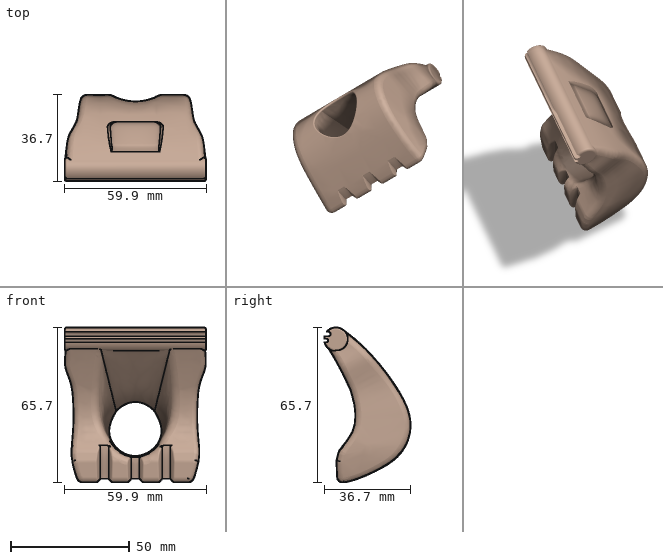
import cadquery as cq
import math

WIDTH = 59.92
HEIGHT = 65.71
BODY_BACK = 36.68

BAR_RADIUS = 5.05
BAR_Y = 5.05
BAR_Z = HEIGHT - BAR_RADIUS
BAR_END_ROUND = 1.0
BAR_GROOVES = [(1.83, BAR_Z + 2.22, 0.92), (0.98, BAR_Z - 0.51, 0.72)]

BACK_CURVE = [
    (8.4, 64.35), (17.9, 56.2), (27.0, 45.5), (33.1, 36.1), (BODY_BACK - 0.1, 26.0),
    (35.3, 17.3), (30.6, 10.5), (22.5, 5.2), (13.4, 1.25), (8.6, 0.0),
]
INNER_CURVE = [
    (6.2, 13.2), (9.4, 17.3), (11.9, 21.3), (13.2, 27.8), (12.7, 33.4),
    (11.3, 38.8), (8.2, 45.5), (4.7, 52.2), (2.2, 56.3), (0.7, 58.9),
]
TIP_BOTTOM = (5.6, 0.0)
TIP_TOP = (5.15, 9.0)
TIP_ROUND = 2.4
CREASE_ROUND = 4.0

SIDE_STATIONS = [
    (-1.0, 25.2, 18.5), (6.0, 27.5, 20.8), (12.5, 28.7, 22.3), (25.0, 28.8, 22.9),
    (36.0, 28.9, 23.0), (42.4, 30.1, 22.6), (49.0, 31.6, 23.8), (54.0, 30.3, 27.3),
    (60.0, 29.9, 28.0), (67.0, WIDTH / 2, 29.0),
]
BACK_EDGE_ROUND = 3.0
INNER_EDGE_ROUND = 2.3
SIDE_BACK_Y = BODY_BACK + 0.3
BODY_MIDDLE_Y = 20.0

HOLE_HALF_WIDTH = 10.7
HOLE_BOTTOM = 11.5
HOLE_TOP = 30.7
HOLE_Y = BODY_BACK + 1.0
HOLE_CORNER_ANGLES = (-20, 45)
MOUTH_Y = 0.5
MOUTH_BOTTOM = 10.5
MOUTH_SHOULDER = (11.8, 19.0)
MOUTH_BELLY = (18.8, 43.0)
MOUTH_CORNER = (15.0, 58.0)
MOUTH_TOP = MOUTH_CORNER[1] + 0.3
MOUTH_ROUND = 3.6
HOLE_RIM_ROUND = 0.5
MOUTH_EDGE_BACK = 13.6

TOOTH_GROOVE_PITCH = 13.1
TOOTH_GROOVE_HALF_FLOOR = 1.73
TOOTH_GROOVE_HALF_MOUTH = 4.0
TOOTH_GROOVE_FLOOR_Y = 8.2
TOOTH_GROOVE_MOUTH_Y = 4.0
TOOTH_GROOVE_BOTTOM = 1.5
TOOTH_GROOVE_TOP = 20.0
TOOTH_EDGE_ROUND = 0.7
TOOTH_FRONT_LIMIT_Y = (TIP_BOTTOM[0] + INNER_CURVE[0][0]) / 2

POCKET_START = (12.5, 61.3)
POCKET_RUNOUT = (13.6, 58.8)
POCKET_BEND = (15.5, 56.8)
POCKET_END = (25.1, 45.7)
POCKET_START_HALF_WIDTH = 9.3
POCKET_END_HALF_WIDTH = 10.3
POCKET_CORNER_ROUND = 1.5
POCKET_DRAFT = 38
POCKET_SAG = 1.0

OVERSHOOT = 5.0


def round_edges(shape, is_wanted, radius):
    return shape.newObject([e for e in shape.edges().vals() if is_wanted(e)]).fillet(radius)


def round_nearest_edge(shape, point, radius):
    return shape.edges(cq.selectors.NearestToPointSelector(point)).fillet(radius)


def reach_from_middle(box):
    return max(-box.xmin, box.xmax)


def mirrored(point):
    return (-point[0], point[1])


def side_profile():
    shape = (
        cq.Workplane("YZ").moveTo(*BACK_CURVE[0]).spline(BACK_CURVE[1:], includeCurrent=True)
        .lineTo(*TIP_BOTTOM).lineTo(*TIP_TOP).lineTo(*INNER_CURVE[0])
        .spline(INNER_CURVE[1:], includeCurrent=True).lineTo(BAR_Y, BAR_Z).close()
        .extrude(2 * WIDTH)
    )
    shape = round_nearest_edge(shape, (WIDTH, *TIP_BOTTOM), TIP_ROUND)
    for corner in (TIP_TOP, INNER_CURVE[0]):
        shape = round_nearest_edge(shape, (WIDTH, *corner), CREASE_ROUND)
    return shape.translate((-WIDTH, 0, 0))


def side_outline(plane_y, half_widths):
    right = [(half_width, station[0]) for station, half_width in zip(SIDE_STATIONS, half_widths)]
    left = [mirrored(point) for point in reversed(right)]
    return (
        cq.Workplane("XZ", origin=(0, plane_y, 0))
        .moveTo(*right[0]).spline(right[1:], includeCurrent=True)
        .lineTo(*left[0]).spline(left[1:], includeCurrent=True).close().wires().val()
    )


def side_walls():
    """Block between the two waisted sides, tapering toward the back."""
    front = side_outline(0, [station[1] for station in SIDE_STATIONS])
    back = side_outline(SIDE_BACK_Y, [station[2] for station in SIDE_STATIONS])
    return cq.Workplane(cq.Solid.makeLoft([front, back], True))


def is_side_edge(box):
    return box.xmin * box.xmax > 0


def is_back_side_edge(edge):
    box = edge.BoundingBox()
    return is_side_edge(box) and box.ymax > BODY_MIDDLE_Y


def is_inner_side_edge(edge):
    box = edge.BoundingBox()
    return is_side_edge(box) and box.ymax < BODY_MIDDLE_Y and box.zmax < BAR_Z - BAR_END_ROUND


def body():
    shape = side_profile().intersect(side_walls())
    shape = round_edges(shape, is_back_side_edge, BACK_EDGE_ROUND)
    return round_edges(shape, is_inner_side_edge, INNER_EDGE_ROUND)


def bar():
    return (
        cq.Workplane("YZ", origin=(-WIDTH / 2, 0, 0)).center(BAR_Y, BAR_Z).circle(BAR_RADIUS)
        .extrude(WIDTH).edges("%CIRCLE").fillet(BAR_END_ROUND)
    )


def hole_point(angle):
    middle_z = (HOLE_BOTTOM + HOLE_TOP) / 2
    half_height = (HOLE_TOP - HOLE_BOTTOM) / 2
    return (
        HOLE_HALF_WIDTH * math.cos(math.radians(angle)),
        middle_z + half_height * math.sin(math.radians(angle)),
    )


def funnel_outline(plane_y, bottom, shoulder, belly, corner, top):
    return (
        cq.Workplane("XZ", origin=(0, plane_y, 0)).moveTo(*shoulder)
        .threePointArc((0, bottom), mirrored(shoulder))
        .threePointArc(mirrored(belly), mirrored(corner))
        .threePointArc((0, top), corner)
        .threePointArc(belly, shoulder).close().wires().val()
    )


def funnel():
    shoulder_angle, corner_angle = HOLE_CORNER_ANGLES
    mouth = funnel_outline(
        MOUTH_Y, MOUTH_BOTTOM, MOUTH_SHOULDER, MOUTH_BELLY, MOUTH_CORNER, MOUTH_TOP
    )
    hole = funnel_outline(
        HOLE_Y, HOLE_BOTTOM, hole_point(shoulder_angle),
        hole_point((shoulder_angle + corner_angle) / 2), hole_point(corner_angle), HOLE_TOP
    )
    return cq.Workplane(cq.Solid.makeLoft([mouth, hole], True))


def bar_groove(y, z, radius):
    """Round-bottomed groove along the whole bar, open toward the front."""
    return (
        cq.Workplane("YZ", origin=(-WIDTH, 0, 0)).moveTo(-OVERSHOOT, z - radius).lineTo(y, z - radius)
        .threePointArc((y + radius, z), (y, z + radius)).lineTo(-OVERSHOOT, z + radius).close()
        .extrude(2 * WIDTH)
    )


def tooth_groove(x):
    channel = (
        cq.Workplane("XY", origin=(x, 0, -OVERSHOOT))
        .moveTo(-TOOTH_GROOVE_HALF_MOUTH, TOOTH_GROOVE_MOUTH_Y)
        .lineTo(TOOTH_GROOVE_HALF_MOUTH, TOOTH_GROOVE_MOUTH_Y)
        .lineTo(TOOTH_GROOVE_HALF_FLOOR, TOOTH_GROOVE_FLOOR_Y)
        .lineTo(-TOOTH_GROOVE_HALF_FLOOR, TOOTH_GROOVE_FLOOR_Y).close()
        .extrude(TOOTH_GROOVE_TOP + OVERSHOOT)
    )
    notch_half_foot = TOOTH_GROOVE_HALF_FLOOR + TOOTH_GROOVE_BOTTOM
    notch = (
        cq.Workplane("XZ", origin=(x, TOOTH_GROOVE_MOUTH_Y, 0))
        .moveTo(-TOOTH_GROOVE_HALF_FLOOR, TOOTH_GROOVE_BOTTOM)
        .lineTo(TOOTH_GROOVE_HALF_FLOOR, TOOTH_GROOVE_BOTTOM)
        .lineTo(notch_half_foot, 0).lineTo(notch_half_foot, -OVERSHOOT)
        .lineTo(-notch_half_foot, -OVERSHOOT).lineTo(-notch_half_foot, 0).close()
        .extrude(-BODY_BACK / 2)
    )
    return channel.union(notch)


def back_pocket():
    start_y, start_z = POCKET_START
    end_y, end_z = POCKET_END
    length = math.hypot(end_y - start_y, end_z - start_z)
    floor_prism = (
        cq.Workplane("YZ", origin=(-WIDTH / 2, 0, 0)).moveTo(*POCKET_START)
        .threePointArc(POCKET_RUNOUT, POCKET_BEND).lineTo(*POCKET_END)
        .lineTo(end_y, HEIGHT).lineTo(start_y, HEIGHT).close().extrude(WIDTH)
    )
    floor = cq.Plane(
        origin=(0, (start_y + end_y) / 2, (start_z + end_z) / 2), xDir=(1, 0, 0),
        normal=(0, start_z - end_z, end_y - start_y),
    )
    outline = (
        cq.Workplane(floor).workplane(offset=-POCKET_SAG)
        .moveTo(-POCKET_END_HALF_WIDTH, length).lineTo(POCKET_END_HALF_WIDTH, length)
        .lineTo(POCKET_START_HALF_WIDTH, -length).lineTo(-POCKET_START_HALF_WIDTH, -length).close()
        .extrude(2 * OVERSHOOT, taper=-POCKET_DRAFT)
    )
    pocket = floor_prism.intersect(outline)
    corner_x = POCKET_END_HALF_WIDTH + OVERSHOOT / 2
    for side in (-corner_x, corner_x):
        corner = (side, end_y, (end_z + HEIGHT) / 2)
        pocket = round_nearest_edge(pocket, corner, POCKET_CORNER_ROUND)
    return pocket


def is_mouth_edge(edge):
    box = edge.BoundingBox()
    return (
        reach_from_middle(box) < MOUTH_BELLY[0]
        and box.ymax < MOUTH_EDGE_BACK
        and box.zmin > TIP_TOP[1]
    )


def is_hole_rim_edge(edge):
    box = edge.BoundingBox()
    return reach_from_middle(box) < MOUTH_SHOULDER[0] and box.ymin > BODY_MIDDLE_Y


def is_tooth_edge(edge):
    """Straight upright edges where the groove walls meet the front of the teeth."""
    box = edge.BoundingBox()
    upright = edge.geomType() == "LINE" and TIP_TOP[1] / 2 < box.zmax - box.zmin < TIP_TOP[1]
    outermost = TOOTH_GROOVE_PITCH + TOOTH_GROOVE_HALF_MOUTH
    return upright and box.ymax < TOOTH_FRONT_LIMIT_Y and reach_from_middle(box) < outermost


def holed_body():
    shape = body().cut(funnel())
    shape = round_edges(shape, is_mouth_edge, MOUTH_ROUND)
    return round_edges(shape, is_hole_rim_edge, HOLE_RIM_ROUND)


def toothed_body():
    shape = holed_body()
    for column in (-1, 0, 1):
        shape = shape.cut(tooth_groove(column * TOOTH_GROOVE_PITCH))
    return round_edges(shape, is_tooth_edge, TOOTH_EDGE_ROUND)


result = toothed_body().cut(back_pocket()).union(bar())
for groove in BAR_GROOVES:
    result = result.cut(bar_groove(*groove))